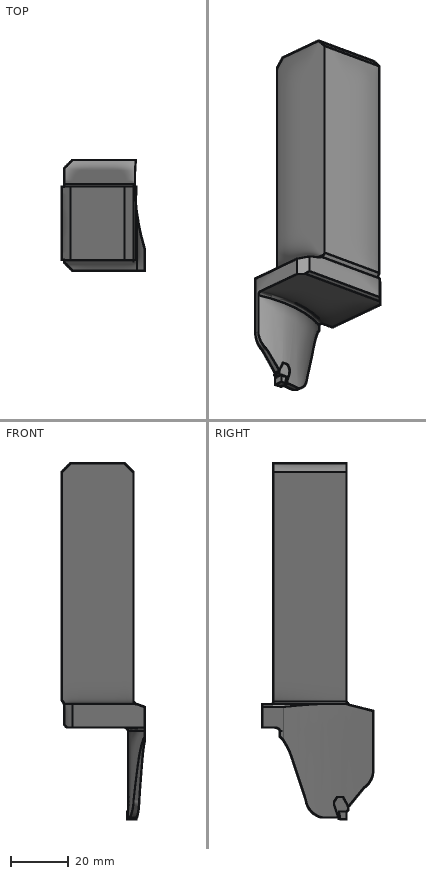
import cadquery as cq
import math

total_height = 124.1
shank_x = 25.1
shank_y = 25.5
shank_front = 3.8
shank_back = shank_front + shank_y
shank_chamfer = 3.1

head_left = 0.9
head_right = 29.0
head_depth = 38.7
head_bottom = 32.0
head_top = 40.2
head_corner = 3.0
head_bottom_chamfer = 1.0
back_slope_drop = 2.4
right_slope_start = 26.3
right_slope_drop = 1.0
neck_chamfer = 0.9
shank_step_height = 1.5
front_fillet = 0.5

outer_radius = 81.9
outer_low_x = 25.5
outer_centre_y = 31.0
inner_radius = 45.3
inner_low_x = 23.1
inner_centre_y = 28.5
blade_front = 5.2
blade_bottom = 0.6
root_fillet = 1.1

cutting_left = 22.7
cutting_right = 26.0
cutting_height = 2.7
cutting_edge_y = 29.4
cutting_heel_y = 26.5

insert_body_outline = [
    (28.2, 7.8),
    (26.0, 7.8),
    (25.1, 6.2),
    (25.1, 5.1),
    (cutting_heel_y, blade_bottom),
    (cutting_edge_y, blade_bottom),
    (cutting_edge_y, cutting_height),
    (30.2, 3.4),
    (29.7, 5.1),
]
cutting_end_outline = [
    (26.7, cutting_height),
    (27.2, blade_bottom),
    (cutting_heel_y, blade_bottom),
    (cutting_heel_y, 0.1),
    (cutting_edge_y, 0),
    (cutting_edge_y, cutting_height),
]

clearance = 6.2

pick_margin = 0.1


def extrude_along_x(profile, start, end):
    """Extrude a closed YZ profile between two X positions."""
    return profile.extrude(end - start).translate((start, 0, 0))


def make_shank():
    shank = cq.Workplane("XY").box(
        shank_x, shank_y, total_height - head_top, centered=False
    )
    shank = shank.translate((0, shank_front, head_top))
    shank = shank.faces(">Z").edges("|Y").chamfer(shank_chamfer)
    step = (
        cq.Workplane("XZ", origin=(0, shank_front, 0))
        .moveTo(0, head_top)
        .lineTo(head_left, head_top)
        .lineTo(0, head_top + shank_step_height)
        .close()
        .extrude(-shank_y)
    )
    return shank.cut(step)


def make_head():
    head = cq.Workplane("XY").box(
        head_right - head_left, head_depth, head_top - head_bottom, centered=False
    )
    head = head.translate((head_left, 0, head_bottom))
    head = head.edges("|Z and <X").chamfer(head_corner)
    head = head.faces("<Z").edges("<X").chamfer(head_bottom_chamfer)
    return head.cut(make_back_slope()).cut(make_right_slope())


def make_back_slope():
    """Wedge removed behind the shank."""
    profile = (
        cq.Workplane("YZ")
        .moveTo(shank_back, head_top)
        .lineTo(head_depth, head_top - back_slope_drop)
        .lineTo(head_depth, head_top)
        .close()
    )
    return extrude_along_x(profile, head_left, head_right)


def make_right_slope():
    """Wedge removed along the right side of the head."""
    return (
        cq.Workplane("XZ")
        .moveTo(right_slope_start, head_top)
        .lineTo(head_right, head_top - right_slope_drop)
        .lineTo(head_right, head_top)
        .close()
        .extrude(-head_depth)
    )


def make_neck():
    """Small sloped and rounded transitions between shank and head."""
    right = (
        cq.Workplane("XZ", origin=(0, shank_front, 0))
        .moveTo(shank_x, head_top)
        .lineTo(shank_x + neck_chamfer, head_top)
        .lineTo(shank_x, head_top + neck_chamfer)
        .close()
        .extrude(-shank_y)
    )
    back_profile = (
        cq.Workplane("YZ")
        .moveTo(shank_back, head_top + neck_chamfer)
        .lineTo(shank_back, head_top)
        .lineTo(
            shank_back + neck_chamfer,
            head_top - back_slope_drop * neck_chamfer / (head_depth - shank_back),
        )
        .close()
    )
    back = extrude_along_x(back_profile, head_left, shank_x)
    fillet_middle = front_fillet * (1 - math.sqrt(0.5))
    front_profile = (
        cq.Workplane("YZ")
        .moveTo(shank_front, head_top)
        .lineTo(shank_front - front_fillet, head_top)
        .threePointArc(
            (shank_front - fillet_middle, head_top + fillet_middle),
            (shank_front, head_top + front_fillet),
        )
        .close()
    )
    front = extrude_along_x(front_profile, head_left, shank_x)
    return right.union(back).union(front)


def make_outer_cylinder():
    """Large vertical cylinder that hollows the right side of head and blade."""
    return (
        cq.Workplane("XY", origin=(0, 0, -clearance))
        .center(outer_low_x + outer_radius, outer_centre_y)
        .circle(outer_radius)
        .extrude(total_height)
    )


def make_blade_outline():
    """Side outline of the blade, extruded across the full width."""
    profile = (
        cq.Workplane("YZ")
        .moveTo(0, head_bottom)
        .lineTo(blade_front, head_bottom)
        .lineTo(blade_front, 29.8)
        .lineTo(7.2, 27.8)
        .threePointArc((8.7, 25.3), (10.3, 21.5))
        .lineTo(15.1, 6.8)
        .threePointArc((17.1, 2.7), (21.1, blade_bottom))
        .lineTo(26.7, blade_bottom)
        .lineTo(29.9, 4.2)
        .lineTo(35.5, 11.0)
        .threePointArc((37.8, 13.6), (head_depth, 16.9))
        .lineTo(head_depth, head_bottom)
        .close()
    )
    return extrude_along_x(profile, 0, head_right)


def inner_face_x(y):
    """X position of the convex inner blade face at a given Y."""
    offset = y - inner_centre_y
    return inner_low_x + inner_radius - math.sqrt(inner_radius**2 - offset**2)


def make_blade():
    """Side outline trimmed by the convex inner face; the outer face is cut later."""
    start_y = inner_centre_y - math.sqrt(
        inner_radius**2 - (inner_low_x + inner_radius - head_right) ** 2
    )
    plan = (
        cq.Workplane("XY")
        .moveTo(head_right, start_y)
        .threePointArc(
            (inner_low_x, inner_centre_y), (inner_face_x(head_depth), head_depth)
        )
        .lineTo(head_right, head_depth)
        .close()
        .extrude(head_bottom)
    )
    return plan.intersect(make_blade_outline())


def make_insert():
    """Slim body level with the inner blade face, with a wider cutting end at its tip."""
    body_profile = cq.Workplane("YZ").polyline(insert_body_outline).close()
    body = extrude_along_x(body_profile, inner_low_x, cutting_right)
    body = body.cut(make_outer_cylinder())
    end_profile = cq.Workplane("YZ").polyline(cutting_end_outline).close()
    return body.union(extrude_along_x(end_profile, cutting_left, cutting_right))


def make_holder(insert):
    head_and_blade = make_head().union(make_blade())
    head_and_blade = head_and_blade.cut(make_outer_cylinder())
    root_edges = cq.selectors.BoxSelector(
        (inner_low_x - pick_margin, 0, head_bottom - pick_margin),
        (head_right - pick_margin, head_depth - pick_margin, head_bottom + pick_margin),
    )
    head_and_blade = head_and_blade.edges(root_edges).fillet(root_fillet)
    return make_shank().union(head_and_blade).union(make_neck()).cut(insert)


insert = make_insert()
holder = make_holder(insert)
result = cq.Compound.makeCompound([holder.val(), insert.val()])